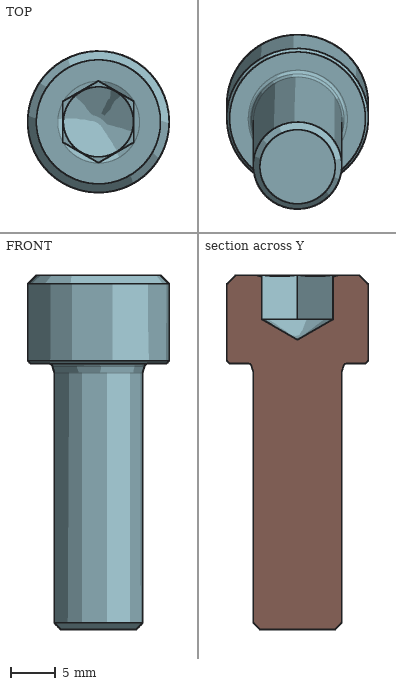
import cadquery as cq
import math

THREAD_DIAMETER = 10.0
SHANK_LENGTH = 30.0
TIP_CHAMFER = 0.75

HEAD_DIAMETER = 16.0
HEAD_HEIGHT = THREAD_DIAMETER
HEAD_TOP_CHAMFER = 1.0
BEARING_DIAMETER = 15.33

NECK_DIAMETER = 11.2
NECK_LENGTH = 1.0
NECK_FILLET_RADIUS = 0.4

HEX_SIDES = 6
HEX_ACROSS_FLATS = 8.0
HEX_DEPTH = 5.0
LEAD_IN_SLOPE = 15.0
DRILL_DIAMETER = 7.9
DRILL_POINT_ANGLE = 120.0

shank_radius = THREAD_DIAMETER / 2
head_radius = HEAD_DIAMETER / 2
bearing_radius = BEARING_DIAMETER / 2
neck_radius = NECK_DIAMETER / 2
hex_corner_radius = HEX_ACROSS_FLATS / 2 / math.cos(math.pi / HEX_SIDES)


def neck_fillet_point(angle):
    """(radius, Z) on the neck fillet, angle measured up from the inward radial direction."""
    return (
        neck_radius - NECK_FILLET_RADIUS * math.cos(angle),
        -NECK_FILLET_RADIUS + NECK_FILLET_RADIUS * math.sin(angle),
    )


def make_body():
    """Revolve the half profile of head, neck and shank about Z."""
    bearing_chamfer = head_radius - bearing_radius
    fillet_offset = neck_radius - shank_radius
    fillet_drop = NECK_LENGTH - NECK_FILLET_RADIUS
    cone_angle = math.atan2(fillet_offset, fillet_drop) - math.asin(
        NECK_FILLET_RADIUS / math.hypot(fillet_offset, fillet_drop)
    )
    fillet_start = neck_fillet_point(cone_angle)
    fillet_middle = neck_fillet_point((cone_angle + math.pi / 2) / 2)
    profile = (
        cq.Workplane("XZ")
        .moveTo(0, -SHANK_LENGTH)
        .lineTo(shank_radius - TIP_CHAMFER, -SHANK_LENGTH)
        .lineTo(shank_radius, -SHANK_LENGTH + TIP_CHAMFER)
        .lineTo(shank_radius, -NECK_LENGTH)
        .lineTo(*fillet_start)
        .threePointArc(fillet_middle, (neck_radius, 0))
        .lineTo(bearing_radius, 0)
        .lineTo(head_radius, bearing_chamfer)
        .lineTo(head_radius, HEAD_HEIGHT - HEAD_TOP_CHAMFER)
        .lineTo(head_radius - HEAD_TOP_CHAMFER, HEAD_HEIGHT)
        .lineTo(0, HEAD_HEIGHT)
        .close()
    )
    return profile.revolve(360, (0, 0, 0), (0, 1, 0))


def make_cone(radius, base_height, depth):
    """Solid cone with its base at base_height and its apex depth below it."""
    return (
        cq.Workplane("XZ")
        .moveTo(0, base_height)
        .lineTo(radius, base_height)
        .lineTo(0, base_height - depth)
        .close()
        .revolve(360, (0, 0, 0), (0, 1, 0))
    )


def make_socket():
    """Hexagon with corners on the Y axis, a lead-in cone and a drill point floor."""
    hexagon = (
        cq.Workplane("XY")
        .workplane(offset=HEAD_HEIGHT)
        .transformed(rotate=(0, 0, 90))
        .polygon(HEX_SIDES, 2 * hex_corner_radius)
        .extrude(-HEX_DEPTH)
    )
    lead_in_depth = hex_corner_radius * math.tan(math.radians(LEAD_IN_SLOPE))
    lead_in = make_cone(hex_corner_radius, HEAD_HEIGHT, lead_in_depth)
    drill_radius = DRILL_DIAMETER / 2
    point_depth = drill_radius / math.tan(math.radians(DRILL_POINT_ANGLE / 2))
    drill_point = make_cone(drill_radius, HEAD_HEIGHT - HEX_DEPTH, point_depth)
    return hexagon.union(lead_in).union(drill_point)


result = make_body().cut(make_socket())